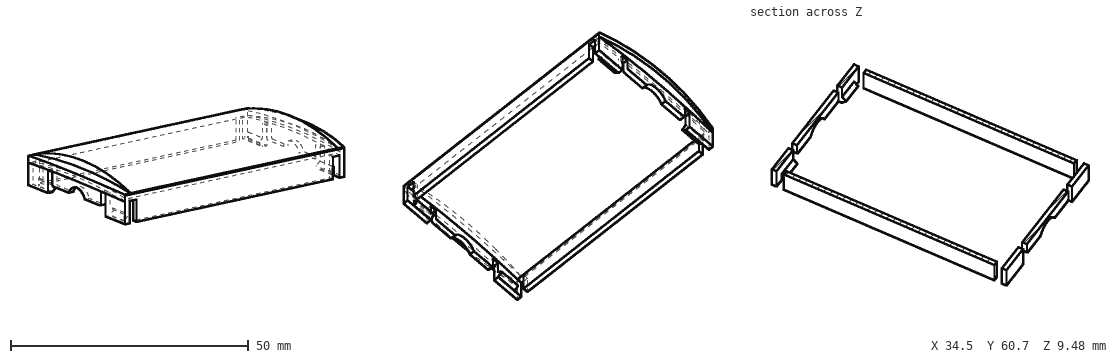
import cadquery as cq

width = 34.5
length = 60.65
height = 9.48

plate_thickness = 1.58
plate_crown_z = 7.72
plate_edge_z = 6.52
plate_corner_length = 57.1
edge_chamfer = 0.18

pad_length = 54.0
pad_width = width - 2 * edge_chamfer
pad_edge_z = 6.58

wall = 1.2
wall_top_z = plate_edge_z - plate_thickness
wall_crown_z = plate_crown_z - plate_thickness
wall_length = plate_corner_length

opening_top_z = 5.06
corner_slot_width = 1.75
end_slot_inner_x = 8.7
end_slot_outer_x = 10.2

tab_bottom_z = 1.92
tab_corner_radius = 0.5
notch_top_z = 3.75
notch_half_width = 2.85

ridge_depth = 1.0
ridge_bottom_z = 0.1
ridge_top_z = 1.9
ridge_side_gap = 2.0
ridge_length = width / 2 - end_slot_outer_x - ridge_side_gap


def box(x_size, y_size, z_bottom, z_top):
    """Box centred on X = Y = 0 between two heights."""
    return cq.Workplane("XY", origin=(0, 0, z_bottom)).box(
        x_size, y_size, z_top - z_bottom, centered=(True, True, False)
    )


def arch(span, edge_z, crown_z, base_z, y_length):
    """Block with a flat base and an arched top, centred along Y."""
    half = span / 2
    profile = (
        cq.Workplane("XZ")
        .moveTo(-half, base_z)
        .lineTo(-half, edge_z)
        .threePointArc((0, crown_z), (half, edge_z))
        .lineTo(half, base_z)
        .close()
    )
    return profile.extrude(y_length / 2, both=True)


def space_below_plate(y_length):
    """Full-width block from the foot of the walls up to the arched underside of the plate."""
    return arch(width, wall_top_z, wall_crown_z, 0, y_length)


def make_plate():
    """Arched band with bowed ends and chamfered long edges."""
    half_x = width / 2
    half_y = plate_corner_length / 2
    outline = (
        cq.Workplane("XY")
        .moveTo(-half_x, -half_y)
        .threePointArc((0, -length / 2), (half_x, -half_y))
        .lineTo(half_x, half_y)
        .threePointArc((0, length / 2), (-half_x, half_y))
        .close()
        .extrude(height)
    )
    top = arch(width, plate_edge_z, plate_crown_z, 0, length)
    top = top.edges("|Y").edges(">Z").chamfer(edge_chamfer)
    return top.intersect(outline).cut(space_below_plate(length))


def make_pad():
    """Raised pad whose ends are flat and whose top is arched."""
    shape = arch(pad_width, pad_edge_z, height, plate_edge_z - edge_chamfer, pad_length)
    return shape.cut(space_below_plate(length))


def make_walls():
    """Four walls that rise to the underside of the plate."""
    block = space_below_plate(wall_length)
    return block.cut(box(width - 2 * wall, wall_length - 2 * wall, 0, height))


def make_end_openings():
    """Cuts through both end walls: tab slots, space under the tab and cable notch."""
    slots = box(2 * end_slot_outer_x, length, 0, opening_top_z)
    tab = box(2 * end_slot_inner_x, length, tab_bottom_z, height)
    tab = tab.edges("|Y and <Z").fillet(tab_corner_radius)
    notch_rise = notch_top_z - tab_bottom_z
    notch_radius = (notch_half_width**2 + notch_rise**2) / (2 * notch_rise)
    notch = (
        cq.Workplane("XZ")
        .center(0, notch_top_z - notch_radius)
        .circle(notch_radius)
        .extrude(length / 2, both=True)
    )
    return slots.cut(tab.cut(notch))


def make_corner_slots():
    """Cuts through both side walls beside each end wall."""
    slot_y = wall_length / 2 - wall - corner_slot_width / 2
    slot = box(width, corner_slot_width, 0, opening_top_z)
    return slot.translate((0, slot_y, 0)).union(slot.translate((0, -slot_y, 0)))


def make_ridges():
    """Four triangular snap ridges on the inner faces of the end walls."""
    inner_y = wall_length / 2 - wall
    tip_z = (ridge_bottom_z + ridge_top_z) / 2
    ridge = (
        cq.Workplane("YZ", origin=(end_slot_outer_x, 0, 0))
        .moveTo(inner_y, ridge_bottom_z)
        .lineTo(inner_y, ridge_top_z)
        .lineTo(inner_y - ridge_depth, tip_z)
        .close()
        .extrude(ridge_length)
    )
    pair = ridge.union(ridge.mirror("YZ"))
    return pair.union(pair.mirror("XZ"))


walls = make_walls().cut(make_end_openings()).cut(make_corner_slots())
result = walls.union(make_plate()).union(make_pad()).union(make_ridges())